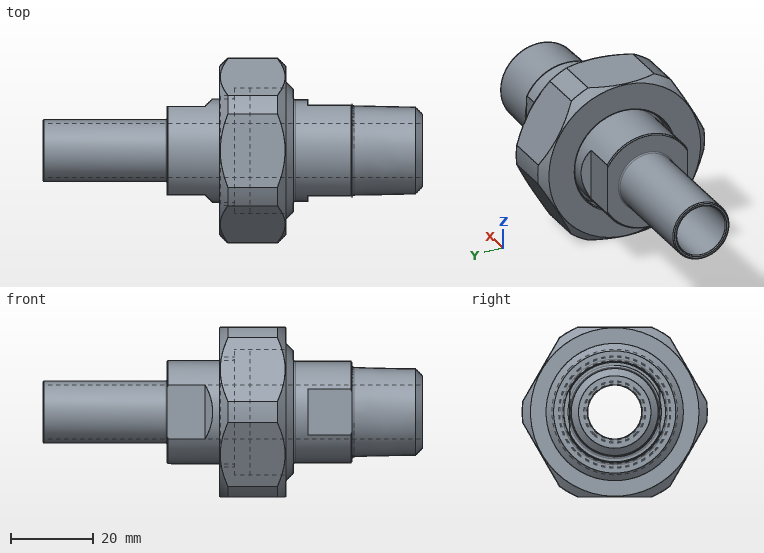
import cadquery as cq
import math

total_length = 91.5
bore_radius = 13.0 / 2
edge_break = 0.3
root_fillet = 0.5

tube_length = 29.9
tube_radius = 15.0 / 2
tube_root_fillet = 0.3
shank_radius = 25.0 / 2
tail_flat_width = 21.3
tail_flat_length = 9.15

nut_start = 42.55
nut_length = 16.0
nut_end = nut_start + nut_length
nut_across_flats = 41.0
nut_corner_radius = 44.65 / 2
nut_chamfer = 2.0
nut_lip_thickness = 3.7
nut_lip_radius = 26.5 / 2
union_radius = 30.3 / 2

flange_start = nut_start + nut_lip_thickness
flange_thickness = 3.7
flange_end = flange_start + flange_thickness

bevel_radius = 33.1 / 2
bevel_tip_radius = 29.5 / 2
bevel_end = 60.4
body_radius = 24.5 / 2
body_end = 74.5
body_flat_width = 21.9
body_flat_length = 10.6
taper_start_radius = 21.6 / 2
taper_end_radius = 20.95 / 2
end_chamfer = 1.7


def revolve_about_x(profile):
    """Revolve an XY profile, drawn as (position, radius), around the X axis."""
    return profile.close().revolve(360, (0, 0, 0), (1, 0, 0))


def root_arc(profile, face_x, radius, fillet, rising):
    """Quarter-round arc in a corner between a cylinder of the given radius and a face."""
    side = -1 if rising else 1
    inset = fillet * (1 - math.sqrt(0.5))
    middle = (face_x + side * inset, radius + inset)
    on_face = (face_x, radius + fillet)
    on_cylinder = (face_x + side * fillet, radius)
    return profile.threePointArc(middle, on_face if rising else on_cylinder)


def side_cutters(profile):
    """Extrude a +Y side profile along Z and mirror it to the -Y side."""
    cutter = profile.close().extrude(nut_across_flats / 2, both=True)
    return cutter.union(cutter.mirror("XZ"))


def make_tailpiece():
    profile = (
        cq.Workplane("XY")
        .moveTo(edge_break, bore_radius)
        .lineTo(0, bore_radius + edge_break)
        .lineTo(0, tube_radius - edge_break)
        .lineTo(edge_break, tube_radius)
        .lineTo(tube_length - tube_root_fillet, tube_radius)
    )
    profile = (
        root_arc(profile, tube_length, tube_radius, tube_root_fillet, rising=True)
        .lineTo(tube_length, shank_radius - edge_break)
        .lineTo(tube_length + edge_break, shank_radius)
        .lineTo(flange_start - root_fillet, shank_radius)
    )
    profile = (
        root_arc(profile, flange_start, shank_radius, root_fillet, rising=True)
        .lineTo(flange_start, union_radius)
        .lineTo(flange_end, union_radius)
        .lineTo(flange_end, bore_radius)
    )
    flat_end = tube_length + tail_flat_length
    ramp = shank_radius - tail_flat_width / 2
    flats = (
        cq.Workplane("XY")
        .moveTo(tube_length, tail_flat_width / 2)
        .lineTo(flat_end, tail_flat_width / 2)
        .lineTo(flat_end + ramp, shank_radius)
        .lineTo(tube_length, shank_radius)
    )
    return revolve_about_x(profile).cut(side_cutters(flats))


def make_nut():
    across_corners = nut_across_flats / math.cos(math.pi / 6)
    hexagon = (
        cq.Workplane("YZ", origin=(nut_start, 0, 0))
        .polygon(6, across_corners)
        .extrude(nut_length)
    )
    rounded_corners = (
        cq.Workplane("YZ", origin=(nut_start, 0, 0))
        .circle(nut_corner_radius)
        .extrude(nut_length)
        .edges()
        .chamfer(nut_chamfer)
    )
    lip_hole = (
        cq.Workplane("YZ", origin=(nut_start, 0, 0))
        .circle(nut_lip_radius)
        .extrude(nut_lip_thickness)
    )
    lip_edge_break = cq.Workplane(
        cq.Solid.makeCone(
            nut_lip_radius + edge_break,
            nut_lip_radius,
            edge_break,
            cq.Vector(nut_start, 0, 0),
            cq.Vector(1, 0, 0),
        )
    )
    union_bore = (
        cq.Workplane("YZ", origin=(flange_start, 0, 0))
        .circle(union_radius)
        .extrude(nut_end - flange_start)
    )
    return hexagon.intersect(rounded_corners).cut(lip_hole).cut(lip_edge_break).cut(union_bore)


def make_threaded_body():
    profile = (
        cq.Workplane("XY")
        .moveTo(flange_end, bore_radius)
        .lineTo(flange_end, union_radius)
        .lineTo(nut_end, union_radius)
        .lineTo(nut_end, bevel_radius)
        .lineTo(bevel_end, bevel_tip_radius)
        .lineTo(bevel_end, body_radius + root_fillet)
    )
    profile = (
        root_arc(profile, bevel_end, body_radius, root_fillet, rising=False)
        .lineTo(body_end - edge_break, body_radius)
        .lineTo(body_end, body_radius - edge_break)
        .lineTo(body_end, taper_start_radius + root_fillet)
    )
    profile = (
        root_arc(profile, body_end, taper_start_radius, root_fillet, rising=False)
        .lineTo(total_length - end_chamfer, taper_end_radius)
        .lineTo(total_length, taper_end_radius - end_chamfer)
        .lineTo(total_length, bore_radius)
    )
    flat_start = body_end - body_flat_length
    flats = (
        cq.Workplane("XY")
        .moveTo(flat_start, body_flat_width / 2)
        .lineTo(body_end, body_flat_width / 2)
        .lineTo(body_end, body_radius)
        .lineTo(flat_start, body_radius)
    )
    return revolve_about_x(profile).cut(side_cutters(flats))


tailpiece = make_tailpiece()
nut = make_nut()
threaded_body = make_threaded_body()

result = cq.Compound.makeCompound([
    *tailpiece.solids().vals(),
    *nut.solids().vals(),
    *threaded_body.solids().vals(),
])